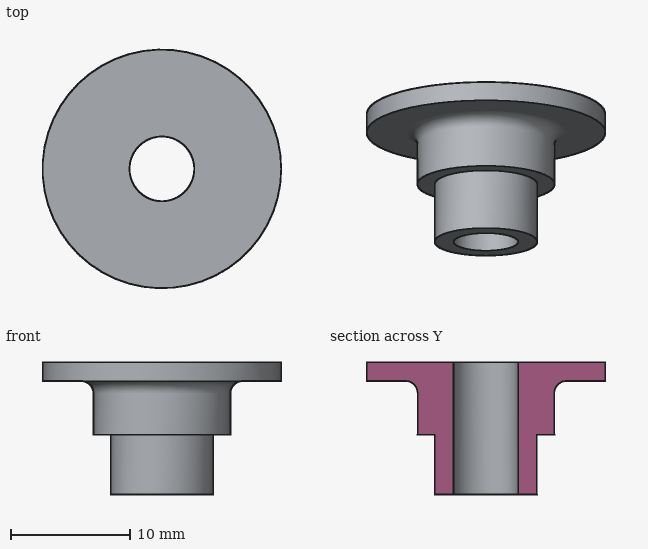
import cadquery as cq

flange_diameter = 20.0
flange_thickness = 1.6
shoulder_diameter = 11.5
shoulder_length = 4.5
spigot_diameter = 8.6
spigot_length = 5.0
bore_diameter = 5.4
fillet_radius = 1.0

shoulder_bottom = spigot_length
flange_bottom = shoulder_bottom + shoulder_length
total_height = flange_bottom + flange_thickness


def cylinder(diameter, bottom, height):
    """Upright cylinder on the Z axis, starting at the given height."""
    return cq.Workplane("XY").workplane(offset=bottom).circle(diameter / 2).extrude(height)


def flange_and_shoulder():
    """Round flange on its shoulder, with a fillet in the corner between them."""
    shoulder = cylinder(shoulder_diameter, shoulder_bottom, shoulder_length)
    flange = cylinder(flange_diameter, flange_bottom, flange_thickness)
    corner = cq.selectors.RadiusNthSelector(0)
    underside = cq.selectors.NearestToPointSelector((0, 0, flange_bottom))
    return shoulder.union(flange).faces(underside).edges(corner).fillet(fillet_radius)


spigot = cylinder(spigot_diameter, 0, spigot_length)
bore = cylinder(bore_diameter, 0, total_height)

result = flange_and_shoulder().union(spigot).cut(bore)